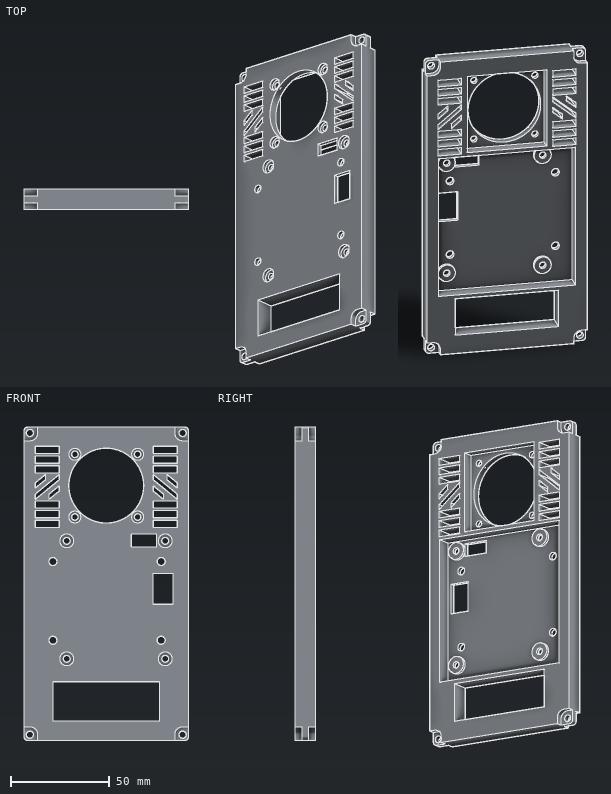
import cadquery as cq
width = 84.0
depth = 10.5
height = 160.0
front = -depth / 2
back = depth / 2
corner_radius = 2.0

ear_layer = depth / 3
ear_size = 7.0
ear_hole_offset = 3.0
ear_hole_diameter = 3.5

skin = 2.5
side_wall = 6.0
cavity_top = 27.2
cavity_bottom = -48.0

fan_z = 50.0
fan_diameter = 38.0
fan_seat_size = 41.6
fan_skin = 4.6
fan_screw_pitch = 32.0
fan_screw_diameter = 3.2
fan_head_diameter = 6.0

head_depth = 2.0

vent_x = 30.0
vent_z = 49.5
vent_width = 12.2
slot_height = 3.5
slot_pitch = 5.0
slots_per_bank = 3
bank_offset = 14.0
slant_field_height = 12.5
slant_opening = 2.5
slant_slope = (slant_field_height - slant_opening) / vent_width
short_slant_width = 5.1

board_hole_xs = (-27.2, 28.0)
board_hole_zs = (11.4, -28.8)
board_hole_diameter = 4.0
post_xs = (-20.2, 30.0)
post_zs = (22.0, -38.2)
post_hole_diameter = 3.4
post_head_diameter = 7.0
post_diameter = 9.0
post_end = 4.2

small_port = (19.2, 22.0, 12.6, 6.5)
tall_port = (29.0, -2.5, 10.0, 15.5)
display_window = (0.0, -60.0, 54.0, 19.8)


def block(x, z, size_x, size_z, y_start=front, y_end=back):
    """Box centred at (x, z) that spans y_start to y_end."""
    solid = cq.Workplane("XY").box(size_x, y_end - y_start, size_z)
    return solid.translate((x, (y_start + y_end) / 2, z))


def pin(x, z, diameter, y_end=back):
    """Cylinder along Y at (x, z), from the front face to y_end."""
    plane = cq.Workplane("XZ", origin=(x, front, z))
    return plane.circle(diameter / 2).extrude(front - y_end)


def counterbored_hole(x, z, diameter, head_diameter):
    head = pin(x, z, head_diameter, front + head_depth)
    return pin(x, z, diameter).union(head)


def slant(x_start, x_end):
    """Slanted slot between two x positions, along the diagonal of the slant field."""
    half_opening = slant_opening / 2
    z_start = slant_slope * x_start
    z_end = slant_slope * x_end
    points = [
        (x_start, z_start - half_opening),
        (x_end, z_end - half_opening),
        (x_end, z_end + half_opening),
        (x_start, z_start + half_opening),
    ]
    plane = cq.Workplane("XZ", origin=(0, front, 0))
    return plane.polyline(points).close().extrude(-depth)


def vent():
    """Cutter for the left vent."""
    half_width = vent_width / 2
    cutter = slant(-half_width, half_width)

    short_shift = vent_width - short_slant_width
    short_rise = short_shift * slant_slope
    upper = slant(-half_width, -half_width + short_slant_width).translate((0, 0, short_rise))
    lower = slant(half_width - short_slant_width, half_width).translate((0, 0, -short_rise))
    cutter = cutter.union(upper).union(lower)

    for bank_z in (-bank_offset, bank_offset):
        for index in range(slots_per_bank):
            z = bank_z + (index - (slots_per_bank - 1) / 2) * slot_pitch
            cutter = cutter.union(block(0, z, vent_width, slot_height))
    return cutter.translate((-vent_x, 0, vent_z))


def ear_cutter():
    """Cutter for the top right ear: the front and back layers and the screw hole."""
    x = width / 2
    z = height / 2
    cutter = pin(x - ear_hole_offset, z - ear_hole_offset, ear_hole_diameter)
    for y_start in (front, back - ear_layer):
        y_end = y_start + ear_layer
        layer = block(x - ear_size / 2, z - ear_size / 2, ear_size, ear_size, y_start, y_end)
        layer = layer.edges("|Y").edges("<X").edges("<Z").fillet(ear_size - ear_hole_offset)
        cutter = cutter.union(layer)
    return cutter


plate = block(0, 0, width, height).edges("|Y").fillet(corner_radius)
cavity_z = (cavity_top + cavity_bottom) / 2
cavity_width = width - 2 * side_wall
cavity_height = cavity_top - cavity_bottom
plate = plate.cut(block(0, cavity_z, cavity_width, cavity_height, front + skin))

plate = plate.cut(block(0, fan_z, fan_seat_size, fan_seat_size, front + fan_skin))
plate = plate.cut(pin(0, fan_z, fan_diameter))
for x in (-fan_screw_pitch / 2, fan_screw_pitch / 2):
    for z in (fan_z - fan_screw_pitch / 2, fan_z + fan_screw_pitch / 2):
        plate = plate.cut(counterbored_hole(x, z, fan_screw_diameter, fan_head_diameter))

left_vent = vent()
plate = plate.cut(left_vent).cut(left_vent.mirror("YZ"))

for x in board_hole_xs:
    for z in board_hole_zs:
        plate = plate.cut(pin(x, z, board_hole_diameter))
for x in post_xs:
    for z in post_zs:
        plate = plate.union(pin(x, z, post_diameter, front + post_end))
        plate = plate.cut(counterbored_hole(x, z, post_hole_diameter, post_head_diameter))

for opening in (small_port, tall_port, display_window):
    plate = plate.cut(block(*opening))

right_ears = ear_cutter()
right_ears = right_ears.union(right_ears.mirror("XY"))
result = plate.cut(right_ears).cut(right_ears.mirror("YZ"))